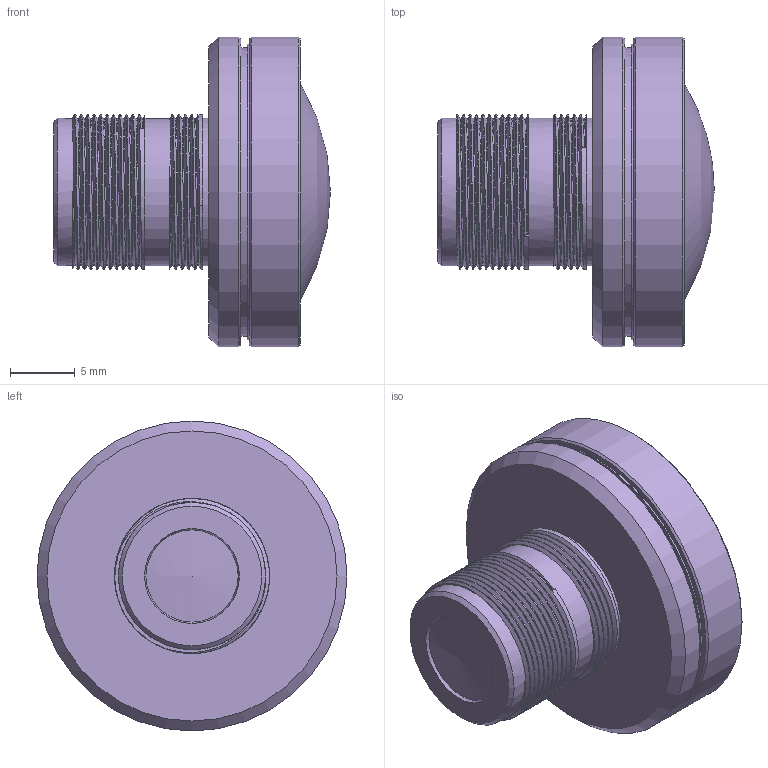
import cadquery as cq
import math

HEAD_BACK = 12.0
HEAD_FRONT = 19.1
TIP = 21.43

SHANK_RADIUS = 5.7
SHANK_CHAMFER = 0.3
THREAD_RADIUS = 6.0
THREAD_PITCH = 0.5
THREAD_BANDS = ((1.47, 7.05, 6.94, 35), (9.0, 11.55, 11.4, -35))
FLANK_SLOPE = math.tan(math.radians(30))
CREST_WIDTH = THREAD_PITCH / 8
EMBED = 0.05
BAND_INNER_RADIUS = SHANK_RADIUS - 0.2
RING_SEAM_ANGLE = 225

HEAD_RADIUS = 12.0
BACK_CHAMFER = 0.77
EDGE_CHAMFER = 0.15
RELIEF_START = 14.5
RELIEF_END = 15.0
RELIEF_RADIUS = 11.15
STEP_RADIUS = 11.45
STEP_END = 15.15

DOME_RADIUS = 8.4

RECESS_MOUTH_RADIUS = 3.67
RECESS_FLOOR_RADIUS = 3.57
RECESS_DEPTH = 0.25
REAR_LENS_SAG = 0.2


def arc_height(edge_radius, sag, radius):
    """Height above its edge, at the given radius, of a spherical cap."""
    sphere = (edge_radius**2 + sag**2) / (2 * sag)
    return math.sqrt(sphere**2 - radius**2) - (sphere - sag)


def make_body():
    """Revolve the unthreaded body, with its front dome and recessed rear lens."""
    rear_mid = RECESS_FLOOR_RADIUS / 2
    rear_mid_x = RECESS_DEPTH - arc_height(RECESS_FLOOR_RADIUS, REAR_LENS_SAG, rear_mid)
    dome_mid = DOME_RADIUS / 2
    dome_mid_x = HEAD_FRONT + arc_height(DOME_RADIUS, TIP - HEAD_FRONT, dome_mid)
    chamfered_radius = HEAD_RADIUS - EDGE_CHAMFER
    profile = (
        cq.Workplane("XY")
        .moveTo(RECESS_DEPTH - REAR_LENS_SAG, 0)
        .threePointArc((rear_mid_x, rear_mid), (RECESS_DEPTH, RECESS_FLOOR_RADIUS))
        .lineTo(0, RECESS_MOUTH_RADIUS)
        .lineTo(0, SHANK_RADIUS - SHANK_CHAMFER)
        .lineTo(SHANK_CHAMFER, SHANK_RADIUS)
        .lineTo(HEAD_BACK, SHANK_RADIUS)
        .lineTo(HEAD_BACK, HEAD_RADIUS - BACK_CHAMFER)
        .lineTo(HEAD_BACK + BACK_CHAMFER, HEAD_RADIUS)
        .lineTo(RELIEF_START - EDGE_CHAMFER, HEAD_RADIUS)
        .lineTo(RELIEF_START, chamfered_radius)
        .lineTo(RELIEF_START, RELIEF_RADIUS)
        .lineTo(RELIEF_END, RELIEF_RADIUS)
        .lineTo(RELIEF_END, STEP_RADIUS)
        .lineTo(STEP_END, STEP_RADIUS)
        .lineTo(STEP_END, chamfered_radius)
        .lineTo(STEP_END + EDGE_CHAMFER, HEAD_RADIUS)
        .lineTo(HEAD_FRONT - EDGE_CHAMFER, HEAD_RADIUS)
        .lineTo(HEAD_FRONT, chamfered_radius)
        .lineTo(HEAD_FRONT, DOME_RADIUS)
        .threePointArc((dome_mid_x, dome_mid), (TIP, 0))
        .close()
    )
    return profile.revolve(360, (0, 0, 0), (1, 0, 0))


def make_groove(start, head):
    """Right-hand helical groove that runs from its head at +Z back past the start of the band."""
    turns = math.ceil((head - start) / THREAD_PITCH) + 1
    root = SHANK_RADIUS - EMBED
    mouth = THREAD_RADIUS + EMBED
    crest_half_gap = (THREAD_PITCH - CREST_WIDTH) / 2
    root_half = crest_half_gap - (THREAD_RADIUS - root) * FLANK_SLOPE
    mouth_half = crest_half_gap + (mouth - THREAD_RADIUS) * FLANK_SLOPE
    helix = cq.Wire.makeHelix(THREAD_PITCH, turns * THREAD_PITCH, SHANK_RADIUS)
    groove = (
        cq.Workplane("XZ")
        .polyline([(root, -root_half), (mouth, -mouth_half), (mouth, mouth_half), (root, root_half)])
        .close()
        .sweep(cq.Workplane(helix), isFrenet=True)
    )
    return groove.rotate((0, 0, 0), (0, 1, 0), -90).translate((head, 0, 0))


def make_thread(start, end, head, head_angle):
    """Ring over the shank with the helical groove cut in it, turned to the head angle."""
    ring = (
        cq.Workplane("YZ", origin=(start, 0, 0))
        .circle(THREAD_RADIUS)
        .circle(BAND_INNER_RADIUS)
        .extrude(end - start)
        .rotate((0, 0, 0), (1, 0, 0), RING_SEAM_ANGLE)
    )
    return ring.cut(make_groove(start, head)).rotate((0, 0, 0), (1, 0, 0), head_angle)


result = make_body()
for band in THREAD_BANDS:
    result = result.union(make_thread(*band))